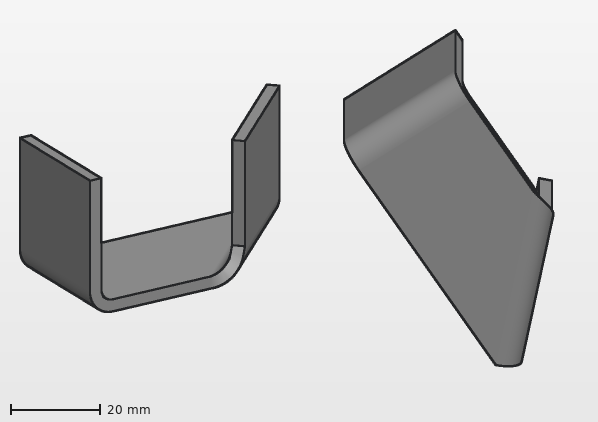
import cadquery as cq
import math

width = 30.0
length = 66.0
height = 33.0
thickness = 3.0
inner_radius = 3.05
neutral_factor = 0.48
sector_margin = 1.3

outer_radius = inner_radius + thickness
bend_reach = outer_radius / math.sqrt(2)
rear_left_y = length - bend_reach
rear_right_y = rear_left_y - width

bend_line_length = width * math.sqrt(2)
developed_bend = math.pi / 2 * (inner_radius + neutral_factor * thickness)
wall_end_inset = outer_radius * math.sqrt(2)
wall_length = bend_line_length - wall_end_inset
bend_full_length = bend_line_length - developed_bend


def bend_sector(plane, margin=0):
    """Quarter-ring bend section; the plane origin is the bend axis and local Y is up.

    A margin widens the ring by that much on both its inside and its outside.
    """
    inner = inner_radius - margin
    outer = outer_radius + margin
    diagonal = math.sqrt(0.5)
    return (
        cq.Workplane(plane)
        .moveTo(0, -outer)
        .threePointArc((outer * diagonal, -outer * diagonal), (outer, 0))
        .lineTo(inner, 0)
        .threePointArc((inner * diagonal, -inner * diagonal), (0, -inner))
        .close()
    )


base = (
    cq.Workplane("XY")
    .polyline([(0, outer_radius), (width, outer_radius), (width, rear_right_y), (0, rear_left_y)])
    .close()
    .extrude(thickness)
)

front_plane = cq.Plane(origin=(width, outer_radius, outer_radius), xDir=(0, -1, 0), normal=(-1, 0, 0))
front_bend = bend_sector(front_plane).extrude(width)
front_wall = cq.Workplane("XY").box(width, thickness, height - outer_radius, centered=False)
front_wall = front_wall.translate((0, 0, outer_radius))

rear_plane = cq.Plane(origin=(0, rear_left_y, outer_radius), xDir=(1, 1, 0), normal=(1, -1, 0))
rear_bend = bend_sector(rear_plane).extrude(bend_full_length)

taper_plane = cq.Plane(
    origin=rear_plane.toWorldCoords((0, 0, bend_full_length)), xDir=rear_plane.xDir, normal=rear_plane.zDir
)
taper_room = bend_sector(taper_plane).extrude(developed_bend)
taper = bend_sector(taper_plane, sector_margin).twistExtrude(developed_bend, -90).intersect(taper_room)

edge_rise = bend_full_length - wall_length
wall_top = height - outer_radius
wall_plane = cq.Plane(
    origin=rear_plane.toWorldCoords((inner_radius, 0, 0)), xDir=rear_plane.zDir, normal=rear_plane.xDir * -1
)
rear_wall = (
    cq.Workplane(wall_plane)
    .polyline([(0, 0), (bend_full_length, 0), (wall_length, edge_rise), (wall_length, wall_top), (0, wall_top)])
    .close()
    .extrude(-thickness)
)

result = base
for portion in (front_bend, front_wall, rear_bend, taper, rear_wall):
    result = result.union(portion)